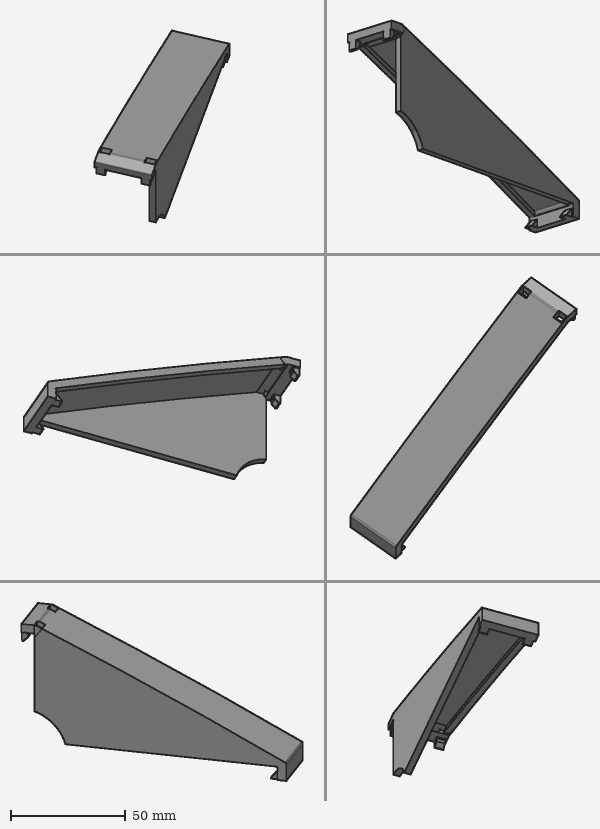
import cadquery as cq
import math


width = 26.2
length = 120.8
height = 60.8

shell = 4.0
thin_plate = 2.0
wall_step = 0.2
wall_step_z = 5.9
rim_width = 3.0
bend_y = 6.6
back_corner_z = 8.5
slope_bulge = 0.8
front_edge_radius = 0.2
bend_radius = 1.8
back_edge_radius = 1.2
wall_root_radius = 0.5
recess_radius = 1.3

web_front_y = 6.0
web_bottom_z = 6.3
notch_center = 0.5
notch_radius = 20.5

hook_width = 4.0
hook_inset = 0.8
front_hook_thickness = 2.8
front_hook_drop = 4.4
front_hook_lead = 1.9
front_hook_edge = 0.5
front_hook_root = 0.5
back_hook_reach = 3.4
back_hook_top_z = 4.1
back_hook_tip = 0.4
slot_clearance = 0.3
slot_front_y = 5.9
slot_back_y = 9.5
slot_angle = 54.0

half_width = width / 2
lip_bottom_z = height - shell
wall_inner_y = length - shell

chord_y = length - bend_y
chord_z = back_corner_z - height
chord = math.hypot(chord_y, chord_z)
slope_radius = (chord ** 2 / 4 + slope_bulge ** 2) / (2 * slope_bulge)
center_drop = slope_radius - slope_bulge
center_y = (bend_y + length) / 2 + center_drop * chord_z / chord
center_z = (height + back_corner_z) / 2 - center_drop * chord_y / chord


def slope_point(y, depth):
    """Point at y on the arc lying depth below the outer slope."""
    return (y, center_z + math.sqrt((slope_radius - depth) ** 2 - (y - center_y) ** 2))


def slope_y(z, depth):
    """Y at which the arc lying depth below the outer slope reaches height z."""
    return center_y + math.sqrt((slope_radius - depth) ** 2 - (z - center_z) ** 2)


def add_slope(outline, start_y, end_y, depth):
    """Extend an outline along the slope arc lying depth below the outer surface."""
    middle_y = (start_y + end_y) / 2
    return outline.threePointArc(slope_point(middle_y, depth), slope_point(end_y, depth))


def side_sketch(start_x):
    """YZ plane at start_x; extrusions from it run toward +X."""
    return cq.Workplane("YZ", origin=(start_x, 0, 0))


def round_edge(body, y, z, radius):
    """Round the edge along X that passes through (y, z)."""
    return body.edges(cq.selectors.NearestToPointSelector((0, y, z))).fillet(radius)


def cover():
    """Lip, slope and back wall at full thickness, with rounded corners."""
    rim_front_y = slope_y(lip_bottom_z, shell)
    outline = side_sketch(-half_width).moveTo(0, lip_bottom_z).lineTo(0, height).lineTo(bend_y, height)
    outline = add_slope(outline, bend_y, length, 0)
    outline = outline.lineTo(length, 0).lineTo(wall_inner_y, 0)
    outline = outline.lineTo(*slope_point(wall_inner_y, shell))
    outline = add_slope(outline, wall_inner_y, rim_front_y, shell)
    body = outline.close().extrude(width)
    body = round_edge(body, 0, height, front_edge_radius)
    body = round_edge(body, bend_y, height, bend_radius)
    body = round_edge(body, length, back_corner_z, back_edge_radius)
    return round_edge(body, *slope_point(wall_inner_y, shell), wall_root_radius)


def underside_recess():
    """Pocket between the rims that thins the slope and slightly thins the wall behind it."""
    start_y = slope_y(lip_bottom_z, thin_plate)
    end_y = wall_inner_y + wall_step
    outline = side_sketch(rim_width - half_width).moveTo(web_front_y, lip_bottom_z)
    outline = outline.lineTo(start_y, lip_bottom_z)
    outline = add_slope(outline, start_y, end_y, thin_plate)
    outline = outline.lineTo(end_y, wall_step_z).lineTo(web_front_y, wall_step_z)
    pocket = outline.close().extrude(width - 2 * rim_width)
    return round_edge(pocket, *slope_point(end_y, thin_plate), recess_radius)


def web():
    """Flat web below the +X rim, with a round notch in its lower front corner."""
    overlap_depth = shell / 2
    outline = side_sketch(half_width - rim_width).moveTo(web_front_y, web_bottom_z)
    outline = outline.lineTo(web_front_y, lip_bottom_z)
    outline = outline.lineTo(bend_y, slope_point(bend_y, overlap_depth)[1])
    outline = add_slope(outline, bend_y, wall_inner_y, overlap_depth)
    outline = outline.lineTo(wall_inner_y, web_bottom_z)
    body = outline.close().extrude(rim_width)
    notch = side_sketch(half_width - rim_width).center(notch_center, notch_center)
    return body.cut(notch.circle(notch_radius).extrude(rim_width))


def front_hook(start_x):
    """Hook under the front edge, sunk halfway into the lip."""
    top_z = height - shell / 2
    bottom_z = lip_bottom_z - front_hook_drop
    inner_y = front_hook_thickness
    root_y = inner_y + front_hook_root
    outline = side_sketch(start_x).moveTo(0, top_z)
    outline = outline.lineTo(0, bottom_z + front_hook_edge).lineTo(front_hook_edge, bottom_z)
    outline = outline.lineTo(inner_y - front_hook_lead, bottom_z)
    outline = outline.lineTo(inner_y, bottom_z + front_hook_lead)
    outline = outline.lineTo(inner_y, lip_bottom_z - front_hook_root)
    outline = outline.lineTo(root_y, lip_bottom_z).lineTo(root_y, top_z)
    return outline.close().extrude(hook_width)


def back_hook(start_x):
    """Wedge on the inner face of the back wall."""
    tip_y = wall_inner_y - back_hook_reach
    outline = side_sketch(start_x).moveTo(wall_inner_y, back_hook_top_z)
    outline = outline.lineTo(tip_y, back_hook_tip).lineTo(tip_y, 0).lineTo(wall_inner_y, 0)
    return outline.close().extrude(hook_width)


def lip_slot(hook_x):
    """Slot behind a front hook, upright in front and leaning at the back."""
    back_edge_z = slope_point(slot_back_y, 0)[1]
    lean = math.tan(math.radians(slot_angle))
    top_z = back_edge_z + shell
    bottom_z = back_edge_z - (slot_back_y - slot_front_y) * lean
    outline = side_sketch(hook_x - slot_clearance).moveTo(slot_front_y, bottom_z)
    outline = outline.lineTo(slot_back_y + shell / lean, top_z)
    outline = outline.lineTo(slot_front_y, top_z)
    return outline.close().extrude(hook_width + 2 * slot_clearance)


result = cover().cut(underside_recess()).union(web())
for hook_x in (hook_inset - half_width, half_width - hook_inset - hook_width):
    result = result.union(front_hook(hook_x)).union(back_hook(hook_x)).cut(lip_slot(hook_x))